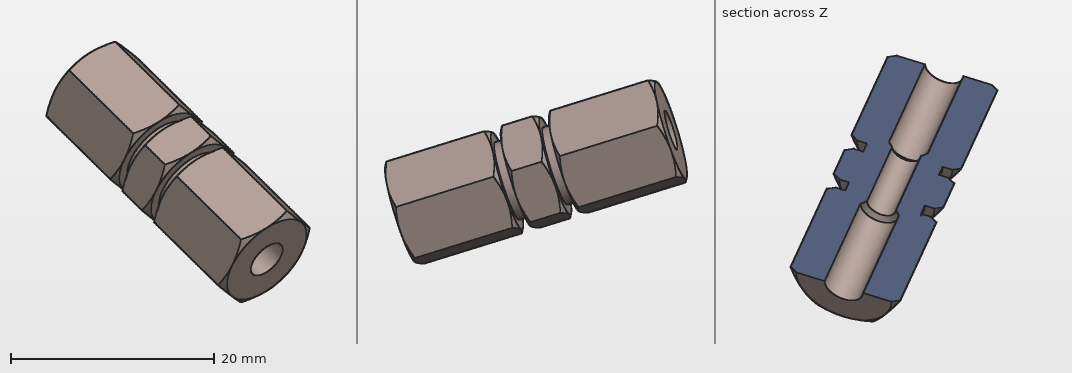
import cadquery as cq
import math

total_length = 28.0
across_flats = 10.0
nut_length = 11.0
middle_length = 4.0
neck_diameter = 8.0
tube_diameter = 4.0
bore_diameter = 3.0
socket_depth = 10.0
seat_angle = 45.0
chamfer_angle = 30.0

across_corners = across_flats / math.cos(math.radians(30))


def cylinder(diameter, start, length):
    return cq.Workplane("YZ", origin=(start, 0, 0)).circle(diameter / 2).extrude(length)


def chamfered_hex(start, length):
    """Hexagon with corners on +Y and -Y, its corners turned off at both ends."""
    prism = (
        cq.Workplane("YZ", origin=(start, 0, 0))
        .polygon(6, across_corners)
        .extrude(length)
    )
    face_radius = across_flats / 2
    corner_radius = across_corners / 2
    setback = (corner_radius - face_radius) * math.tan(math.radians(chamfer_angle))
    end = start + length
    turned_blank = (
        cq.Workplane("XY")
        .polyline([
            (start, 0),
            (start, face_radius),
            (start + setback, corner_radius),
            (end - setback, corner_radius),
            (end, face_radius),
            (end, 0),
        ])
        .close()
        .revolve(360, (0, 0, 0), (1, 0, 0))
    )
    return prism.intersect(turned_blank)


def tube_socket():
    """Socket at the -X end, narrowing through a conical seat to the bore."""
    mouth = -total_length / 2
    seat_start = mouth + socket_depth
    tube_radius = tube_diameter / 2
    bore_radius = bore_diameter / 2
    seat_end = seat_start + (tube_radius - bore_radius) / math.tan(math.radians(seat_angle))
    return (
        cq.Workplane("XY")
        .polyline([
            (mouth, 0),
            (mouth, tube_radius),
            (seat_start, tube_radius),
            (seat_end, bore_radius),
            (seat_end, 0),
        ])
        .close()
        .revolve(360, (0, 0, 0), (1, 0, 0))
    )


nut = chamfered_hex(-total_length / 2, nut_length)
middle_hex = chamfered_hex(-middle_length / 2, middle_length)
neck_length = total_length - 2 * nut_length
neck = cylinder(neck_diameter, -neck_length / 2, neck_length)
body = neck.union(middle_hex).union(nut).union(nut.mirror("YZ"))

bore = cylinder(bore_diameter, -total_length / 2, total_length)
socket = tube_socket()
result = body.cut(bore).cut(socket).cut(socket.mirror("YZ"))